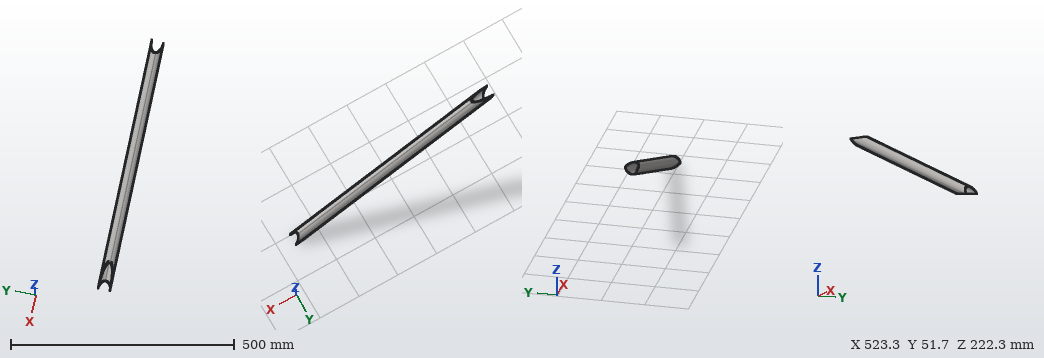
import cadquery as cq
SPAN_X = 522.02
SPAN_Y = 23.93
DROP_Z = 217.39
OUTER_RADIUS = 14.02
WALL = 1.09

UPPER_CROWN_SETBACK = -1.38
UPPER_CROWN_DEPTH = 48.52
UPPER_CROWN_FLANK = -10.94
UPPER_BELLY_SETBACK = 1.25
UPPER_BELLY_DEPTH = 25.90
UPPER_BELLY_FLANK = 4.12
LOWER_CROWN_SETBACK = -1.17
LOWER_CROWN_DEPTH = 20.50
LOWER_CROWN_FLANK = -2.35
LOWER_BELLY_SETBACK = -0.89
LOWER_BELLY_DEPTH = 65.16
LOWER_BELLY_FLANK = 6.32

CROWN = 1
BELLY = -1

upper_node = cq.Vector(-SPAN_X / 2, -SPAN_Y / 2, DROP_Z / 2)
lower_node = cq.Vector(SPAN_X / 2, SPAN_Y / 2, -DROP_Z / 2)
axis = (lower_node - upper_node).normalized()
across = cq.Vector(0, 0, 1).cross(axis).normalized()
upward = axis.cross(across)

OVERRUN = 2 * OUTER_RADIUS
BLOCK = 12 * OUTER_RADIUS


def round_bar(radius):
    """Solid bar from past one node to past the other, its surface split along the crown and belly lines."""
    start = upper_node - axis * OVERRUN
    section = cq.Plane(origin=start.toTuple(), xDir=across.toTuple(), normal=axis.toTuple())
    outline = (
        cq.Workplane(section)
        .moveTo(0, radius)
        .threePointArc((radius, 0), (0, -radius))
        .threePointArc((-radius, 0), (0, radius))
        .close()
    )
    return outline.extrude((lower_node - upper_node).Length + 2 * OVERRUN, clean=False)


def mitre_block(node, inward, side, setback, depth, flank):
    """Block beyond one mitre plane, on the crown or belly side of the tube."""
    outward = across * (flank / OUTER_RADIUS) + upward * (side * depth / OUTER_RADIUS) - inward
    centre = node + inward * setback
    level = inward.cross(outward)
    cut_face = cq.Plane(origin=centre.toTuple(), xDir=level.toTuple(), normal=outward.toTuple())
    return cq.Workplane(cut_face).rect(BLOCK, BLOCK).extrude(BLOCK / 2)


mitres = (
    (upper_node, axis, CROWN, UPPER_CROWN_SETBACK, UPPER_CROWN_DEPTH, UPPER_CROWN_FLANK),
    (upper_node, axis, BELLY, UPPER_BELLY_SETBACK, UPPER_BELLY_DEPTH, UPPER_BELLY_FLANK),
    (lower_node, -axis, CROWN, LOWER_CROWN_SETBACK, LOWER_CROWN_DEPTH, LOWER_CROWN_FLANK),
    (lower_node, -axis, BELLY, LOWER_BELLY_SETBACK, LOWER_BELLY_DEPTH, LOWER_BELLY_FLANK),
)

result = round_bar(OUTER_RADIUS).cut(round_bar(OUTER_RADIUS - WALL), clean=False)
for mitre in mitres:
    result = result.cut(mitre_block(*mitre), clean=False)